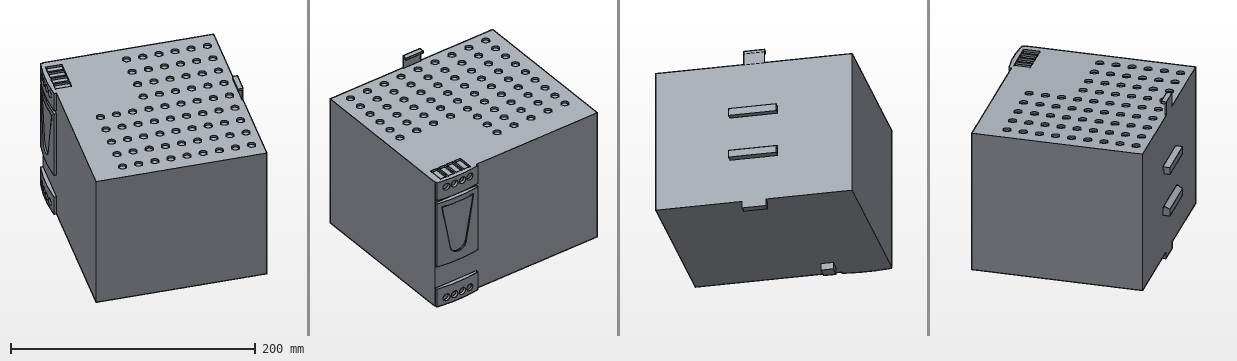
import cadquery as cq
import math

WIDTH = 165.0
DEPTH = 145.0
HEIGHT = 125.0
CENTER_X = WIDTH / 2

PANEL_CENTER_X = 21.5
PANEL_WIDTH = 41.5
PANEL_SIDE = 2.1
PANEL_PEAK = 3.8
TERMINAL_PANEL_HEIGHT = 18.0
COVER_BOTTOM = 40.3
COVER_TOP = 103.8

SHIELD_TOP = 98.8
SHIELD_HALF_WIDTH = 16.0
SHIELD_RADIUS = 8.2
SHIELD_ARC_Z = 57.3
SHIELD_FLOOR = 2.1

TERMINAL_COUNT = 4
TERMINAL_PITCH = 8.0
SCREW_DIAMETER = 6.5
SCREW_FLOOR = 1.0
SCREW_EDGE = 6.8
SLOT_WIDTH = 6.5
SLOT_LENGTH = 13.9
SLOT_FRONT = 0.7
SLOT_DEPTH = 2.0

VENT_DIAMETER = 6.6
VENT_DEPTH = 2.0
VENT_COLUMNS = 9
VENT_ROWS = 9
VENT_PITCH_X = 17.2
VENT_PITCH_Y = 13.7
VENT_FRONT_Y = 26.2
SHORT_ROWS = 3
SHORT_ROW_FIRST_COLUMN = 4

TAB_WIDTH = 17.5
TAB_THICKNESS = 1.0
TAB_HEIGHT = 12.0
LIP_LENGTH = 4.5
LIP_HEIGHT = 2.0

FOOT_WIDTH = 20.1
FOOT_LENGTH = 6.3
FOOT_HEIGHT = 6.0

PLUG_LEFT = 44.7
PLUG_WIDTH = 10.4
PLUG_FRONT = 8.9
PLUG_LENGTH = 10.4
PLUG_HOLE_DIAMETER = 3.6
PLUG_HOLE_PITCH = 4.5
PLUG_HOLE_DEPTH = 2.0

HOOK_WIDTH = 40.0
HOOK_REACH = 6.0
UPPER_HOOK_BOTTOM = 76.9
UPPER_HOOK_TOP = 83.2
RAIL_GAP = 1.0
RAIL_TOP = 80.5
RAIL_HEIGHT = 35.0
LOWER_HOOK_BOTTOM = 38.8
LOWER_HOOK_OUTER_TOP = 44.9
LOWER_HOOK_TOP = 47.5


def box(x, y, z, length, depth, height):
    """Box with its lowest corner at (x, y, z)."""
    return cq.Workplane("XY").box(length, depth, height, centered=False).translate((x, y, z))


def front_panel(bottom, top):
    """Panel standing out of the front face between two heights."""
    left = PANEL_CENTER_X - PANEL_WIDTH / 2
    right = PANEL_CENTER_X + PANEL_WIDTH / 2
    return (
        cq.Workplane("XY", origin=(0, 0, bottom))
        .moveTo(left, 0)
        .lineTo(left, -PANEL_SIDE)
        .threePointArc((PANEL_CENTER_X, -PANEL_PEAK), (right, -PANEL_SIDE))
        .lineTo(right, 0)
        .close()
        .extrude(top - bottom)
    )


def shield_recess():
    """Flat-floored cutter: straight sides running tangent into a round bottom."""
    rise = SHIELD_TOP - SHIELD_ARC_Z
    reach = math.hypot(SHIELD_HALF_WIDTH, rise)
    angle = math.acos(SHIELD_RADIUS / reach) - math.atan2(rise, SHIELD_HALF_WIDTH)
    tangent_x = SHIELD_RADIUS * math.cos(angle)
    tangent_z = SHIELD_ARC_Z - SHIELD_RADIUS * math.sin(angle)
    return (
        cq.Workplane("XZ", origin=(PANEL_CENTER_X, -SHIELD_FLOOR, 0))
        .moveTo(-SHIELD_HALF_WIDTH, SHIELD_TOP)
        .lineTo(-tangent_x, tangent_z)
        .threePointArc((0, SHIELD_ARC_Z - SHIELD_RADIUS), (tangent_x, tangent_z))
        .lineTo(SHIELD_HALF_WIDTH, SHIELD_TOP)
        .close()
        .extrude(PANEL_PEAK)
    )


def terminal_screws(z):
    """Row of screw hole cutters across a terminal panel."""
    return (
        cq.Workplane("XZ", origin=(PANEL_CENTER_X, -SCREW_FLOOR, z))
        .rarray(TERMINAL_PITCH, 1.6, TERMINAL_COUNT, 1)
        .circle(SCREW_DIAMETER / 2)
        .extrude(PANEL_PEAK)
    )


def wire_slots():
    """Row of slot cutters in the top, one behind each upper screw."""
    center_y = SLOT_FRONT + SLOT_LENGTH / 2
    return (
        cq.Workplane("XY", origin=(PANEL_CENTER_X, center_y, HEIGHT - SLOT_DEPTH))
        .rarray(TERMINAL_PITCH, 1.6, TERMINAL_COUNT, 1)
        .rect(SLOT_WIDTH, SLOT_LENGTH)
        .extrude(SLOT_DEPTH)
    )


def vents():
    """Grid of blind vent hole cutters in the top."""
    first_x = CENTER_X - VENT_PITCH_X * (VENT_COLUMNS - 1) / 2
    points = []
    for row in range(VENT_ROWS):
        first_column = SHORT_ROW_FIRST_COLUMN if row < SHORT_ROWS else 0
        for column in range(first_column, VENT_COLUMNS):
            points.append((first_x + column * VENT_PITCH_X, VENT_FRONT_Y + row * VENT_PITCH_Y))
    return (
        cq.Workplane("XY", origin=(0, 0, HEIGHT - VENT_DEPTH))
        .pushPoints(points)
        .circle(VENT_DIAMETER / 2)
        .extrude(VENT_DEPTH)
    )


def release_tab():
    """Plate flush with the back face, with a lip pointing to the front."""
    left = CENTER_X - TAB_WIDTH / 2
    top = HEIGHT + TAB_HEIGHT
    plate = box(left, DEPTH - TAB_THICKNESS, HEIGHT, TAB_WIDTH, TAB_THICKNESS, TAB_HEIGHT)
    lip = box(left, DEPTH - LIP_LENGTH, top - LIP_HEIGHT, TAB_WIDTH, LIP_LENGTH, LIP_HEIGHT)
    return plate.union(lip)


def foot():
    """Block under the back edge, in the middle of the width."""
    left = CENTER_X - FOOT_WIDTH / 2
    return box(left, DEPTH - FOOT_LENGTH, -FOOT_HEIGHT, FOOT_WIDTH, FOOT_LENGTH, FOOT_HEIGHT)


def plug():
    """Connector block with two blind holes in its front."""
    block = box(PLUG_LEFT, PLUG_FRONT, -FOOT_HEIGHT, PLUG_WIDTH, PLUG_LENGTH, FOOT_HEIGHT)
    hole_end = (PLUG_LEFT + PLUG_WIDTH / 2, PLUG_FRONT + PLUG_HOLE_DEPTH, -FOOT_HEIGHT / 2)
    holes = (
        cq.Workplane("XZ", origin=hole_end)
        .rarray(PLUG_HOLE_PITCH, 1.6, 2, 1)
        .circle(PLUG_HOLE_DIAMETER / 2)
        .extrude(PLUG_HOLE_DEPTH)
    )
    return block.cut(holes)


def rail_hook(profile):
    """Hook on the back; the profile holds (distance behind the back face, height)."""
    return (
        cq.Workplane("YZ", origin=(CENTER_X, DEPTH, 0))
        .polyline(profile)
        .close()
        .extrude(HOOK_WIDTH / 2, both=True)
    )


upper_hook = rail_hook([
    (0, UPPER_HOOK_TOP),
    (HOOK_REACH, UPPER_HOOK_TOP),
    (HOOK_REACH, UPPER_HOOK_BOTTOM),
    (RAIL_GAP, UPPER_HOOK_BOTTOM),
    (RAIL_GAP, RAIL_TOP),
    (0, RAIL_TOP),
])
lower_hook = rail_hook([
    (0, LOWER_HOOK_BOTTOM),
    (HOOK_REACH, LOWER_HOOK_BOTTOM),
    (HOOK_REACH, LOWER_HOOK_OUTER_TOP),
    (RAIL_GAP, LOWER_HOOK_TOP),
    (RAIL_GAP, RAIL_TOP - RAIL_HEIGHT),
    (0, RAIL_TOP - RAIL_HEIGHT),
])

result = (
    box(0, 0, 0, WIDTH, DEPTH, HEIGHT)
    .union(front_panel(0, TERMINAL_PANEL_HEIGHT))
    .union(front_panel(COVER_BOTTOM, COVER_TOP))
    .union(front_panel(HEIGHT - TERMINAL_PANEL_HEIGHT, HEIGHT))
    .union(release_tab())
    .union(foot())
    .union(plug())
    .union(upper_hook)
    .union(lower_hook)
    .cut(shield_recess())
    .cut(terminal_screws(SCREW_EDGE))
    .cut(terminal_screws(HEIGHT - SCREW_EDGE))
    .cut(wire_slots())
    .cut(vents())
)